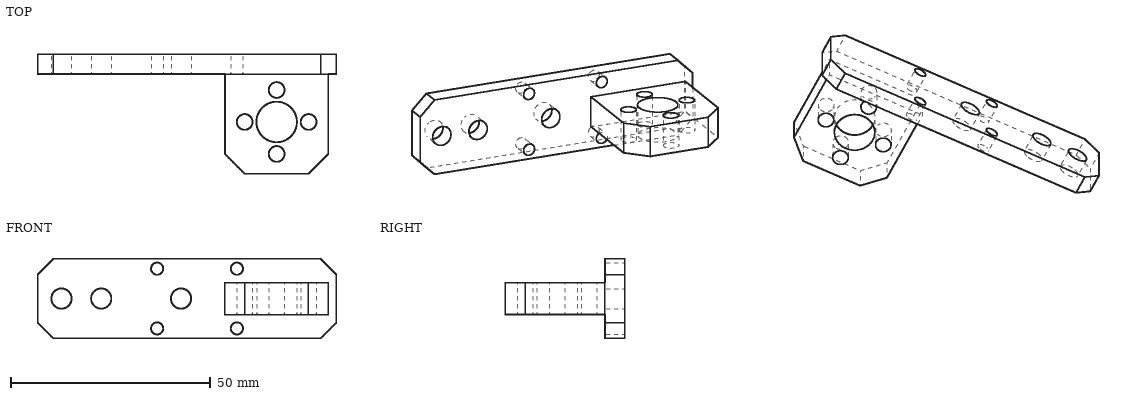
import cadquery as cq

plate_length = 75.0
plate_height = 20.0
plate_thickness = 5.0
plate_chamfer = 4.0

large_hole_diameter = 5.0
large_hole_positions = [6.0, 16.0, 36.0]
small_hole_diameter = 3.0
small_hole_start = 30.0
small_hole_spacing_x = 20.0
small_hole_spacing_z = 15.0

overall_depth = 30.1
flange_depth = overall_depth - plate_thickness
flange_width = 26.0
flange_thickness = 8.0
flange_chamfer = 5.0
flange_center_x = 60.0

bore_diameter = 10.1
bore_offset = 12.0
bolt_hole_diameter = 3.9
bolt_circle_radius = 8.0
bolt_hole_count = 4


def make_plate():
    """Plate with four chamfered corners and its through holes."""
    plate = (
        cq.Workplane("XY")
        .box(plate_length, plate_thickness, plate_height, centered=(False, False, True))
        .edges("|Y")
        .chamfer(plate_chamfer)
    )
    large_points = [(x, 0) for x in large_hole_positions]
    small_points = [
        (x, z)
        for x in (small_hole_start, small_hole_start + small_hole_spacing_x)
        for z in (-small_hole_spacing_z / 2, small_hole_spacing_z / 2)
    ]
    for points, diameter in (
        (large_points, large_hole_diameter),
        (small_points, small_hole_diameter),
    ):
        holes = cq.Workplane("XZ").pushPoints(points).circle(diameter / 2).extrude(-plate_thickness)
        plate = plate.cut(holes)
    return plate


def make_flange():
    """Flange with chamfered front corners, a bore and a ring of bolt holes."""
    flange = (
        cq.Workplane("XY")
        .box(flange_width, flange_depth, flange_thickness)
        .translate((flange_center_x, -flange_depth / 2, 0))
        .faces("<Y")
        .edges("|Z")
        .chamfer(flange_chamfer)
    )
    holes = (
        cq.Workplane("XY", origin=(flange_center_x, -bore_offset, -flange_thickness / 2))
        .circle(bore_diameter / 2)
        .polarArray(bolt_circle_radius, 0, 360, bolt_hole_count)
        .circle(bolt_hole_diameter / 2)
        .extrude(flange_thickness)
    )
    return flange.cut(holes)


result = make_plate().union(make_flange())